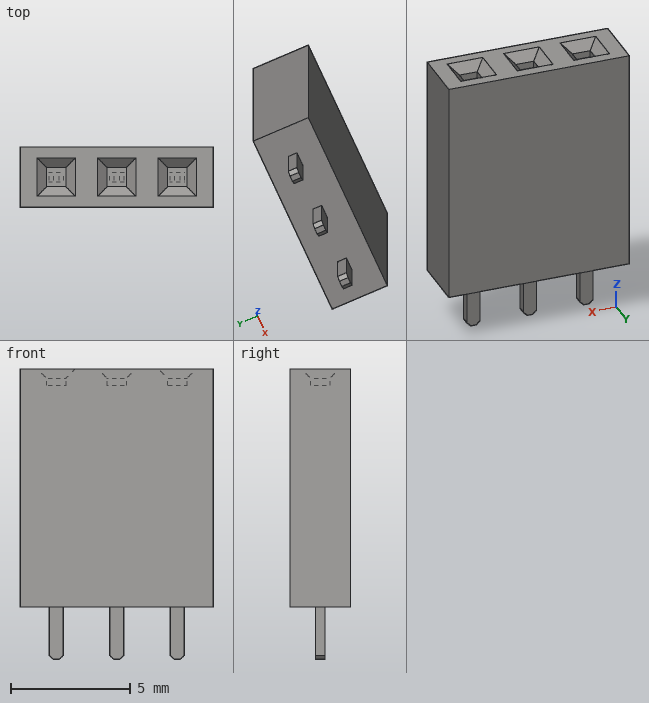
import cadquery as cq

contact_count = 3
pitch = 2.54
end_margin = 0.25
housing_length = contact_count * pitch + 2 * end_margin
housing_width = pitch
housing_height = 10.0

cavity_side = 0.8
lead_in_side = 1.6
lead_in_depth = 0.4
cavity_depth = 0.7

tail_length = 2.2
tail_width = 0.6
tail_thickness = 0.4
tip_chamfer = 0.175

contact_positions = [(i - (contact_count - 1) / 2) * pitch for i in range(contact_count)]


def make_housing():
    """Rectangular block standing on the XY plane."""
    return cq.Workplane("XY").box(
        housing_length, housing_width, housing_height, centered=(True, True, False)
    )


def make_cavity(x):
    """Square blind hole with a pyramidal lead-in, open at the top face."""
    lead_in = (
        cq.Workplane("XY", origin=(x, 0, housing_height))
        .rect(lead_in_side, lead_in_side)
        .workplane(offset=-lead_in_depth)
        .rect(cavity_side, cavity_side)
        .loft(ruled=True)
    )
    hole = (
        cq.Workplane("XY", origin=(x, 0, housing_height - cavity_depth))
        .rect(cavity_side, cavity_side)
        .extrude(cavity_depth)
    )
    return lead_in.union(hole)


def make_tail(x):
    """Flat solder tail whose tip is chamfered on its two narrow sides."""
    half_width = tail_width / 2
    half_tip = half_width - tip_chamfer
    shoulder_z = tip_chamfer - tail_length
    return (
        cq.Workplane("XZ", origin=(x, 0, 0))
        .polyline([
            (-half_width, 0),
            (-half_width, shoulder_z),
            (-half_tip, -tail_length),
            (half_tip, -tail_length),
            (half_width, shoulder_z),
            (half_width, 0),
        ])
        .close()
        .extrude(tail_thickness / 2, both=True)
    )


result = make_housing()
for contact_x in contact_positions:
    result = result.cut(make_cavity(contact_x))
    result = result.union(make_tail(contact_x))